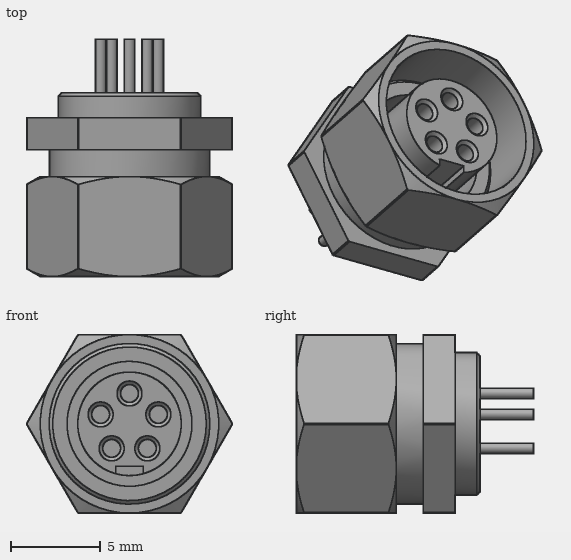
import cadquery as cq
import math


BARREL_FRONT_Y = 3.8
NUT_LENGTH = 5.6
FLANGE_FRONT_Y = 7.1
FLANGE_REAR_Y = 8.9
COLLAR_REAR_Y = 10.3
PIN_END_Y = 13.3

HEX_SIDES = 6
HEX_ACROSS_FLATS = 10.0
HEX_ACROSS_CORNERS = 11.5
NUT_CHAMFER_ANGLE = 30.0

BARREL_DIAMETER = 9.0
BARREL_BORE_DIAMETER = 7.0
BARREL_CHAMFER = 0.2
COLLAR_DIAMETER = 8.0
COLLAR_CHAMFER = 0.2

INSERT_DIAMETER = 5.8
INSERT_FRONT_Y = 0.5
KEYWAY_WIDTH = 1.55
KEYWAY_FLOOR_RADIUS = 2.38
KEYWAY_LENGTH = 3.0

CONTACT_COUNT = 5
CONTACT_CIRCLE_RADIUS = 1.7
SOCKET_DIAMETER = 1.0
SOCKET_MOUTH_DIAMETER = 1.4
SOCKET_DEPTH = 3.0
PIN_DIAMETER = 0.6


def cylinder(diameter, start_y, end_y, x=0.0, z=0.0):
    """Solid cylinder along Y."""
    base = cq.Workplane("XZ", origin=(x, start_y, z))
    return base.circle(diameter / 2).extrude(start_y - end_y)


def hexagon(start_y, end_y):
    """Hexagonal prism along Y with points on +X and -X and truncated corners."""
    sharp_corner_diameter = HEX_ACROSS_FLATS / math.cos(math.pi / HEX_SIDES)
    prism = cq.Workplane("XZ", origin=(0, start_y, 0)).polygon(HEX_SIDES, sharp_corner_diameter)
    prism = prism.extrude(start_y - end_y)
    return prism.intersect(cylinder(HEX_ACROSS_CORNERS, start_y, end_y))


def make_nut():
    """Coupling nut with both ends turned conical and a bore the size of the barrel."""
    corner_depth = (HEX_ACROSS_CORNERS - HEX_ACROSS_FLATS) / 2
    chamfer_length = corner_depth * math.tan(math.radians(NUT_CHAMFER_ANGLE))
    envelope = cylinder(HEX_ACROSS_CORNERS, 0, NUT_LENGTH)
    envelope = envelope.faces("<Y or >Y").chamfer(chamfer_length, corner_depth)
    nut = hexagon(0, NUT_LENGTH).intersect(envelope)
    return nut.cut(cylinder(BARREL_DIAMETER, 0, NUT_LENGTH))


def make_shell():
    """Hollow barrel, hexagonal flange and solid rear collar."""
    barrel = cylinder(BARREL_DIAMETER, BARREL_FRONT_Y, FLANGE_FRONT_Y)
    barrel = barrel.faces("<Y").chamfer(BARREL_CHAMFER)
    barrel = barrel.cut(cylinder(BARREL_BORE_DIAMETER, BARREL_FRONT_Y, FLANGE_FRONT_Y))
    flange = hexagon(FLANGE_FRONT_Y, FLANGE_REAR_Y)
    collar = cylinder(COLLAR_DIAMETER, FLANGE_REAR_Y, COLLAR_REAR_Y)
    collar = collar.faces(">Y").chamfer(COLLAR_CHAMFER)
    return barrel.union(flange).union(collar)


def make_insert():
    """Insert standing free inside the barrel, joined to the front of the flange."""
    return cylinder(INSERT_DIAMETER, INSERT_FRONT_Y, FLANGE_FRONT_Y).cut(make_keyway())


def make_keyway():
    """Cutter for the keyway along the bottom of the insert."""
    height = INSERT_DIAMETER / 2 - KEYWAY_FLOOR_RADIUS
    keyway = cq.Workplane("XY").box(KEYWAY_WIDTH, KEYWAY_LENGTH, height, centered=(True, False, False))
    return keyway.translate((0, INSERT_FRONT_Y, -INSERT_DIAMETER / 2))


def make_socket(x, z):
    """Cutter for one blind contact socket with a countersunk mouth."""
    mouth_depth = (SOCKET_MOUTH_DIAMETER - SOCKET_DIAMETER) / 2
    hole = cylinder(SOCKET_DIAMETER, INSERT_FRONT_Y, INSERT_FRONT_Y + SOCKET_DEPTH, x, z)
    cone = cq.Solid.makeCone(
        SOCKET_MOUTH_DIAMETER / 2,
        SOCKET_DIAMETER / 2,
        mouth_depth,
        cq.Vector(x, INSERT_FRONT_Y, z),
        cq.Vector(0, 1, 0),
    )
    return hole.union(cq.Workplane(cone))


def make_pin(x, z):
    """Solder pin on the rear of the collar."""
    return cylinder(PIN_DIAMETER, COLLAR_REAR_Y, PIN_END_Y, x, z)


def contact_positions():
    """(x, z) of each contact, evenly spaced with the first one at the top."""
    positions = []
    for index in range(CONTACT_COUNT):
        angle = 2 * math.pi * index / CONTACT_COUNT
        x = CONTACT_CIRCLE_RADIUS * math.sin(angle)
        z = CONTACT_CIRCLE_RADIUS * math.cos(angle)
        positions.append((x, z))
    return positions


result = make_nut().union(make_shell()).union(make_insert())
for contact_x, contact_z in contact_positions():
    result = result.cut(make_socket(contact_x, contact_z))
    result = result.union(make_pin(contact_x, contact_z))